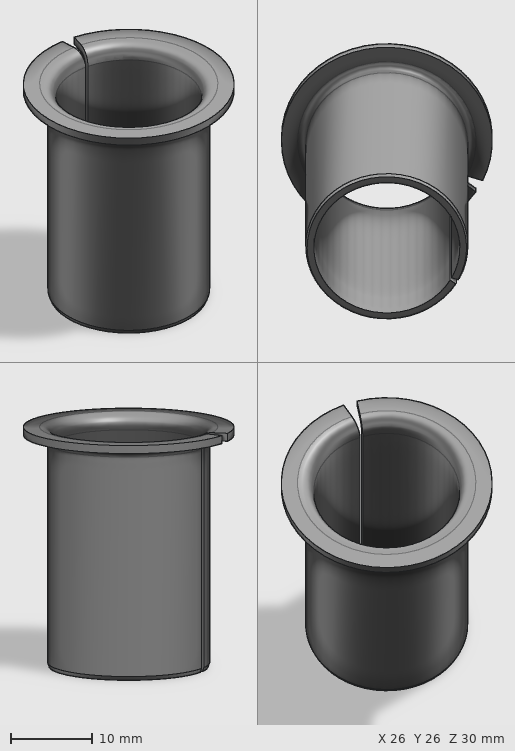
import cadquery as cq
import math

height = 30.0
bore_diameter = 18.0
body_diameter = 20.0
flange_diameter = 26.0
bore_radius = bore_diameter / 2
body_radius = body_diameter / 2
flange_radius = flange_diameter / 2
wall = body_radius - bore_radius

outer_bend_radius = 1.0
inner_bend_radius = outer_bend_radius + wall

chamfer_height = 0.5
chamfer_width = 0.18

split_half_gap_at_bore = 0.18
split_side_angle = 10.0


def quarter_bend_middle(center_radius, center_z, bend_radius):
    """Middle point of a bend arc facing inwards and upwards."""
    offset = bend_radius * math.cos(math.radians(45))
    return center_radius - offset, center_z + offset


def make_sleeve():
    """Revolve the wall and flange section about Z, its seam turned to -X inside the split."""
    bend_center_radius = bore_radius + inner_bend_radius
    bend_center_z = height - inner_bend_radius
    flange_bottom = bend_center_z + outer_bend_radius
    return (
        cq.Workplane("XZ")
        .moveTo(bore_radius, 0)
        .lineTo(body_radius - chamfer_width, 0)
        .lineTo(body_radius, chamfer_height)
        .lineTo(body_radius, bend_center_z)
        .threePointArc(
            quarter_bend_middle(bend_center_radius, bend_center_z, outer_bend_radius),
            (bend_center_radius, flange_bottom),
        )
        .lineTo(flange_radius, flange_bottom)
        .lineTo(flange_radius, height)
        .lineTo(bend_center_radius, height)
        .threePointArc(
            quarter_bend_middle(bend_center_radius, bend_center_z, inner_bend_radius),
            (bore_radius, bend_center_z),
        )
        .close()
        .revolve(360, (0, 0, 0), (0, 1, 0))
        .rotate((0, 0, 0), (0, 0, 1), 180)
    )


def make_split():
    """Wedge cutter whose sides meet inside the bore and open past the flange."""
    slope = math.tan(math.radians(split_side_angle))
    apex_x = -bore_radius + split_half_gap_at_bore / slope
    outer_x = -(flange_radius + wall)
    outer_half_gap = (apex_x - outer_x) * slope
    return (
        cq.Workplane("XY")
        .polyline([(apex_x, 0), (outer_x, outer_half_gap), (outer_x, -outer_half_gap)])
        .close()
        .extrude(height)
    )


result = make_sleeve().cut(make_split())